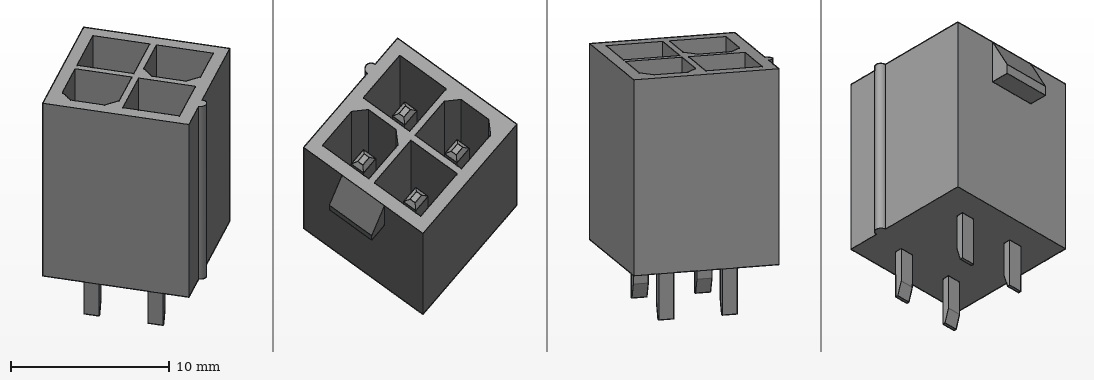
import cadquery as cq


total_height = 16.3

body_side = 9.6
body_height = 12.8
contact_pitch = 4.2
outer_wall = 0.85
cross_wall = 0.44
cavity_depth = 9.78
key_chamfer = 0.75

latch_width = 3.4
latch_reach = 1.3
latch_height = 3.1
latch_lip = 0.7

rib_diameter = 0.8

post_width = 1.0
post_depth = 1.25
post_height = 6.85
post_chamfer = 0.3

tail_width = post_width
tail_thickness = 0.5
tail_outer_spacing = 6.0
tail_length = total_height - body_height
tail_tip_thickness = 0.2
tail_taper = 1.0

half_side = body_side / 2
half_pitch = contact_pitch / 2
cavity_side = (body_side - 2 * outer_wall - cross_wall) / 2
cavity_offset = (cavity_side + cross_wall) / 2
floor_z = body_height - cavity_depth
signs = (-1, 1)
contact_cells = [(column, row) for column in signs for row in signs]


def make_cavity(column, row):
    """Cavity tool; the cells on one diagonal have both -Y corners cut off as a polarizing key."""
    cavity = (
        cq.Workplane("XY", origin=(column * cavity_offset, row * cavity_offset, floor_z))
        .rect(cavity_side, cavity_side)
        .extrude(cavity_depth)
    )
    if column == row:
        cavity = cavity.faces("<Y").edges("|Z").chamfer(key_chamfer)
    return cavity


def make_latch():
    """Ramp that starts at the top of the +Y face and ends in a square catch."""
    catch_y = half_side + latch_reach
    catch_z = body_height - latch_height
    return (
        cq.Workplane("YZ")
        .moveTo(half_side, body_height)
        .lineTo(catch_y, catch_z + latch_lip)
        .lineTo(catch_y, catch_z)
        .lineTo(half_side, catch_z)
        .close()
        .extrude(latch_width / 2, both=True)
    )


def make_rib():
    """Full-height round rib, half sunk in the +X face, in line with the -Y contact row."""
    return cq.Workplane("XY").center(half_side, -half_pitch).circle(rib_diameter / 2).extrude(body_height)


def make_housing():
    """Square block with a latch, a rib and four cavities open at the top."""
    housing = cq.Workplane("XY").rect(body_side, body_side).extrude(body_height)
    housing = housing.union(make_latch()).union(make_rib())
    for column, row in contact_cells:
        housing = housing.cut(make_cavity(column, row))
    return housing


def make_post(column, row):
    """Rectangular post standing on a cavity floor, chamfered around its top."""
    return (
        cq.Workplane("XY", origin=(column * half_pitch, row * half_pitch, floor_z))
        .rect(post_width, post_depth)
        .extrude(post_height)
        .faces(">Z")
        .chamfer(post_chamfer)
    )


def make_tail(column, row):
    """Flat tail below the housing, tapered to its tip on the face turned to the middle."""
    outer_y = row * tail_outer_spacing / 2
    inner_y = outer_y - row * tail_thickness
    tip_y = outer_y - row * tail_tip_thickness
    return (
        cq.Workplane("YZ", origin=(column * half_pitch, 0, 0))
        .moveTo(outer_y, 0)
        .lineTo(inner_y, 0)
        .lineTo(inner_y, tail_taper - tail_length)
        .lineTo(tip_y, -tail_length)
        .lineTo(outer_y, -tail_length)
        .close()
        .extrude(tail_width / 2, both=True)
    )


housing = make_housing()
posts = [make_post(column, row) for column, row in contact_cells]
tails = [make_tail(column, row) for column, row in contact_cells]

result = cq.Compound.makeCompound(
    [
        housing.val(),
        *[post.val() for post in posts],
        *[tail.val() for tail in tails],
    ]
)